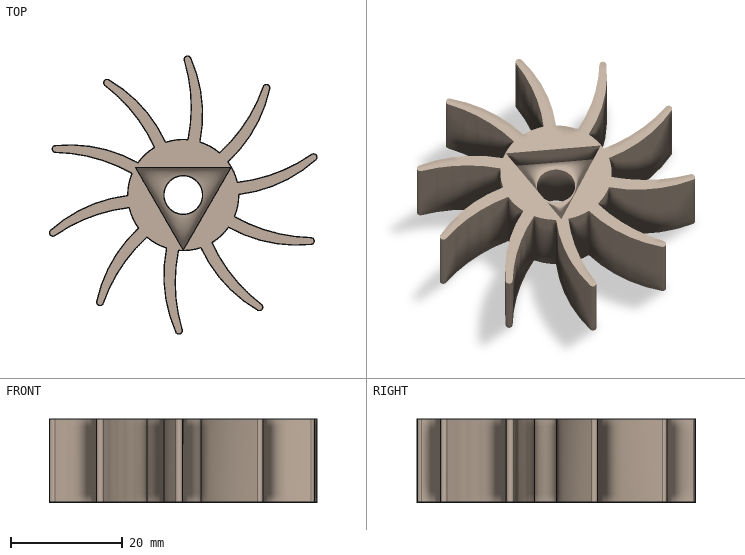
import cadquery as cq
import math

height = 15.0
hub_radius = 10.0
bore_diameter = 6.9
socket_corner_radius = 9.9
socket_depth = 4.5

corner_angle = math.radians(30.0)

vane_count = 10
vane_pitch = 360.0 / vane_count

root_y = 9.0
root_inner_x = 0.62
root_outer_x = 2.9
bow_y = 15.5
bow_inner_x = 1.42
bow_outer_x = 3.48
tip_center_x = 0.78
tip_center_y = 24.36
tip_radius = 0.63
tip_inner_lean = math.radians(17.5)
tip_outer_lean = math.radians(24.5)


def make_hub():
    return cq.Workplane("XY").circle(hub_radius).extrude(height)


def tip_point(angle):
    """Point on the tip circle, at an angle measured from +X."""
    return (
        tip_center_x + tip_radius * math.cos(angle),
        tip_center_y + tip_radius * math.sin(angle),
    )


def make_vane():
    """Vane with a concave inner face, a convex outer face and a round tip."""
    inner_end = tip_point(math.pi + tip_inner_lean)
    tip_end = tip_point(math.pi / 2 + tip_inner_lean)
    outer_end = tip_point(tip_outer_lean)
    return (
        cq.Workplane("XY")
        .moveTo(root_inner_x, root_y)
        .threePointArc((bow_inner_x, bow_y), inner_end)
        .threePointArc(tip_end, outer_end)
        .threePointArc((bow_outer_x, bow_y), (root_outer_x, root_y))
        .close()
        .extrude(height)
    )


def make_bore():
    return cq.Workplane("XY").circle(bore_diameter / 2).extrude(height)


def make_socket():
    """Equilateral triangle with one corner pointing along -Y."""
    half_side = socket_corner_radius * math.cos(corner_angle)
    flat_y = socket_corner_radius * math.sin(corner_angle)
    corners = [(0.0, -socket_corner_radius), (half_side, flat_y), (-half_side, flat_y)]
    return (
        cq.Workplane("XY")
        .workplane(offset=height - socket_depth)
        .polyline(corners)
        .close()
        .extrude(socket_depth)
    )


body = make_hub()
vane = make_vane()
for index in range(vane_count):
    body = body.union(vane.rotate((0, 0, 0), (0, 0, 1), index * vane_pitch))

result = body.cut(make_bore()).cut(make_socket())